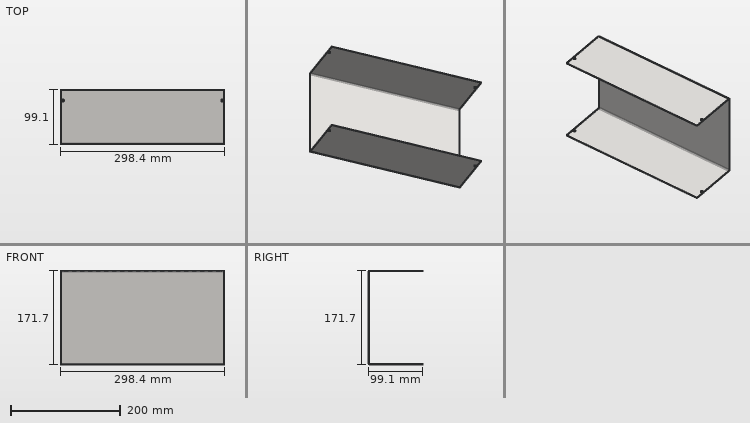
import cadquery as cq

length = 298.45
depth = 99.06
height = 171.7

sheet_thickness = 1.016
inner_bend_radius = 1.524
outer_bend_radius = inner_bend_radius + sheet_thickness

hole_diameter = 3.6
hole_end_inset = 3.556
hole_edge_inset = 19.35


def channel_block(wall_offset, bend_radius):
    """Block inset from the outer web and flange faces but not from the +Y end, rounded at the bends."""
    block_height = height - 2 * wall_offset
    block_depth = depth - wall_offset
    return (
        cq.Workplane("XY")
        .box(length, block_depth, block_height)
        .translate((0, wall_offset / 2, 0))
        .edges("|X and <Y")
        .fillet(bend_radius)
    )


def folded_sheet():
    """U-shaped sheet: a web on the -Y side with a flange at the top and bottom."""
    outside = channel_block(0, outer_bend_radius)
    inside = channel_block(sheet_thickness, inner_bend_radius)
    return outside.cut(inside)


def screw_holes():
    """Vertical cutters that pass through both flanges at each end of the sheet."""
    hole_x = length / 2 - hole_end_inset
    hole_y = depth / 2 - hole_edge_inset
    return (
        cq.Workplane("XY")
        .pushPoints([(-hole_x, hole_y), (hole_x, hole_y)])
        .circle(hole_diameter / 2)
        .extrude(height, both=True)
    )


result = folded_sheet().cut(screw_holes())